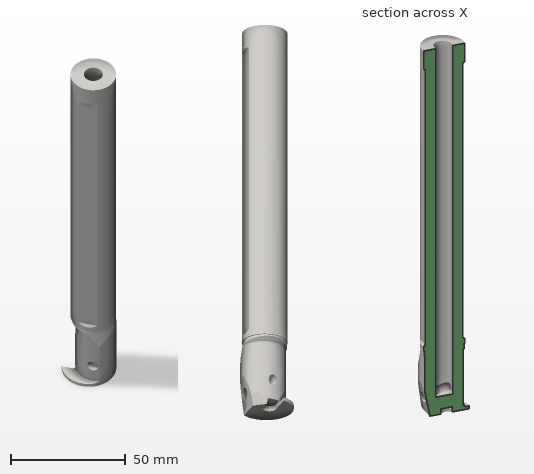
import cadquery as cq
import math

total_length = 179.7
shank_diameter = 20.0
shank_radius = shank_diameter / 2
shank_bottom = 32.3
bore_radius = 4.1
bore_bottom = 9.0

flat_half_gap = 9.0
flat_bottom = 35.5
flat_top = 170.0
flat_depth = shank_radius - flat_half_gap

cutter_diameter = 23.9
cutter_radius = cutter_diameter / 2
cutter_center_x = shank_radius - cutter_radius
neck_radius = shank_radius
neck_center_x = 2.2
neck_top = 29.8
corner_taper_radius = 11.0
corner_taper_bottom = 22.6
corner_taper_top_radius = 9.5

blade_thickness = 1.6
blade_edge_y = -4.0
blade_root_height = 0.9

pocket_side_y = 1.7
pocket_end_x = 0.0
pocket_height = blade_thickness + blade_root_height
back_flat_top = 16.2
back_flat_bottom_y = 6.8
back_flat_tilt = math.degrees(math.atan2(shank_radius - back_flat_bottom_y, back_flat_top))
corner_flat_top = 6.0
corner_flat_tilt = 14.6
corner_flat_distance = 6.8
corner_flat_direction = 142.0

screw_hole_radius = 2.5
screw_hole_x = 2.5
screw_hole_front_z = 11.5
coolant_hole_radius = 1.8
coolant_hole_y = -0.7
coolant_hole_z = 11.7

oversize = 36.0


def cylinder(radius, center_x, bottom, top):
    base = cq.Workplane("XY", origin=(center_x, 0, bottom))
    return base.circle(radius).extrude(top - bottom)


def make_shank():
    shank = cylinder(shank_radius, 0, shank_bottom, total_length)
    flat_profile = [
        (flat_half_gap, flat_bottom),
        (shank_radius, flat_bottom - flat_depth),
        (shank_radius, flat_top + flat_depth),
        (flat_half_gap, flat_top),
    ]
    flat = cq.Workplane("YZ").polyline(flat_profile).close().extrude(shank_radius, both=True)
    return shank.cut(flat).cut(flat.mirror("XZ"))


def make_head():
    neck = cylinder(neck_radius, neck_center_x, 0, neck_top)
    neck = neck.intersect(cylinder(cutter_radius, cutter_center_x, 0, neck_top))
    flare_base = cq.Workplane("XY", origin=(neck_center_x, 0, neck_top))
    flare = flare_base.circle(neck_radius).extrude(shank_bottom - neck_top, taper=-45)
    envelope_profile = [
        (0, 0),
        (oversize, 0),
        (oversize, corner_taper_bottom),
        (corner_taper_radius, corner_taper_bottom),
        (corner_taper_top_radius, shank_bottom),
        (0, shank_bottom),
    ]
    envelope = cq.Workplane("XZ").polyline(envelope_profile).close().revolve(360, (0, 0), (0, 1))
    return neck.union(flare).intersect(envelope)


def make_blade():
    """Crescent of the cutting circle, with a sloped root against the neck."""
    disc = cylinder(cutter_radius, cutter_center_x, 0, blade_thickness)
    root_base = cq.Workplane("XY", origin=(neck_center_x, 0, blade_thickness))
    root = root_base.circle(neck_radius + blade_root_height).extrude(blade_root_height, taper=45)
    root = root.intersect(cylinder(cutter_radius, cutter_center_x, 0, pocket_height))
    front_half = cq.Workplane("XY").box(2 * oversize, oversize, oversize, centered=(True, False, True))
    front_half = front_half.translate((0, blade_edge_y - oversize, 0))
    return disc.union(root).intersect(front_half)


def make_pocket():
    """Round-ended chip pocket ahead of the cutting edge, open toward -X and the bottom."""
    end_radius = (pocket_side_y - blade_edge_y) / 2
    outline = (
        cq.Workplane("XY")
        .moveTo(-oversize, blade_edge_y)
        .lineTo(pocket_end_x - end_radius, blade_edge_y)
        .threePointArc((pocket_end_x, blade_edge_y + end_radius), (pocket_end_x - end_radius, pocket_side_y))
        .lineTo(-oversize, pocket_side_y)
        .close()
    )
    return outline.extrude(pocket_height)


def make_back_flat():
    """Wedge that leans the +Y side of the head inward toward the bottom."""
    wedge = [
        (back_flat_bottom_y, 0),
        (shank_radius, back_flat_top),
        (oversize, back_flat_top),
        (oversize, 0),
    ]
    return cq.Workplane("YZ").polyline(wedge).close().extrude(oversize, both=True)


def make_corner_flat():
    """Leaning flat on the corner between -X and +Y, beside the pocket."""
    top_distance = corner_flat_distance + corner_flat_top * math.tan(math.radians(corner_flat_tilt))
    wedge = [
        (corner_flat_distance, 0),
        (top_distance, corner_flat_top),
        (oversize, corner_flat_top),
        (oversize, 0),
    ]
    cutter = cq.Workplane("XZ").polyline(wedge).close().extrude(oversize, both=True)
    return cutter.rotate((0, 0, 0), (0, 0, 1), corner_flat_direction)


def make_screw_hole():
    """Through hole square to the leaning back flat."""
    tilt = math.radians(back_flat_tilt)
    start = cq.Vector(screw_hole_x, -shank_radius, screw_hole_front_z)
    direction = cq.Vector(0, math.cos(tilt), -math.sin(tilt))
    hole = cq.Solid.makeCylinder(screw_hole_radius, 2 * oversize, start - direction * oversize, direction)
    return cq.Workplane(hole)


def make_coolant_hole():
    """Hole from the bore, sloping down at 45 degrees to the -X side."""
    exit_x = neck_center_x - neck_radius
    rise = -exit_x
    start = cq.Vector(0, coolant_hole_y, coolant_hole_z + rise)
    hole = cq.Solid.makeCylinder(coolant_hole_radius, oversize, start, cq.Vector(-1, 0, -1))
    return cq.Workplane(hole)


head = make_head().cut(make_back_flat()).cut(make_corner_flat()).cut(make_pocket())
body = make_shank().union(head).union(make_blade())
bore = cylinder(bore_radius, 0, bore_bottom, total_length)
result = body.cut(bore).cut(make_screw_hole()).cut(make_coolant_hole())